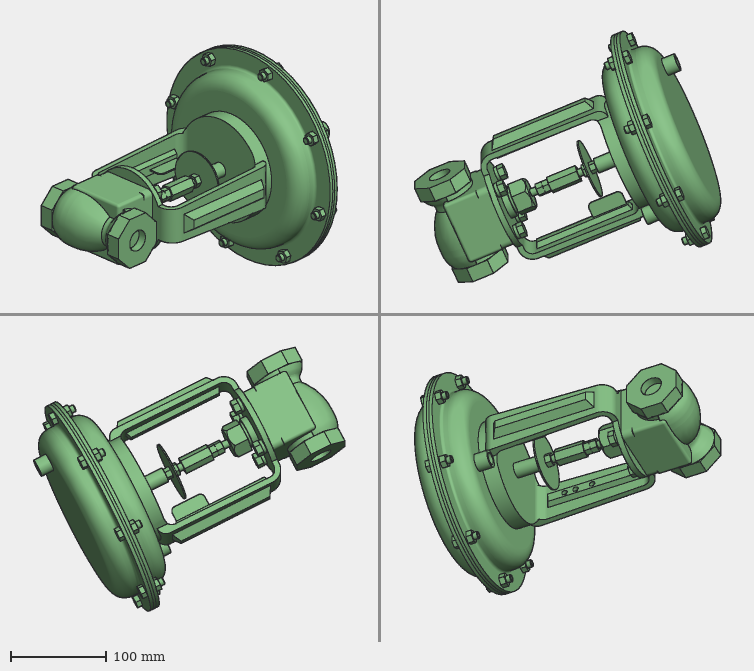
import cadquery as cq
import math


VALVE_BLOCK_BOTTOM = -6.0
VALVE_STEP_Y = 32.1
YOKE_FLANGE_BOTTOM = 44.75
STRAP_THICKNESS = 6.35
YOKE_FLANGE_TOP = YOKE_FLANGE_BOTTOM + STRAP_THICKNESS
PACKING_NUT_BOTTOM = 61.3
PACKING_NUT_TOP = 80.0
BOSS_BOTTOM = 181.7
LOWER_CASE_BOTTOM = 199.1
CASE_FLANGE_BOTTOM = 224.3
CASE_FLANGE_THICKNESS = 3.9
DIAPHRAGM_BOTTOM = CASE_FLANGE_BOTTOM + CASE_FLANGE_THICKNESS
DIAPHRAGM_THICKNESS = 2.9
DIAPHRAGM_TOP = DIAPHRAGM_BOTTOM + DIAPHRAGM_THICKNESS
CASE_FLANGE_TOP = DIAPHRAGM_TOP + CASE_FLANGE_THICKNESS
UPPER_CASE_TOP = 260.7

FLANGE_RADIUS = 241.3 / 2
CASE_RADIUS = 98.6
CASE_ROUND = 16.9
FLANGE_FILLET = 3.1
CASE_BOLTS = 8
CASE_BOLT_CIRCLE = 111.0
CASE_BOLT_START = 30.0
CASE_BOLT_ACROSS = 12.7 / math.cos(math.pi / 6)
CASE_BOLT_TURN = 15.0
CASE_HEAD_HEIGHT = 5.5
CASE_NUT_HEIGHT = 6.4
NUT_CHAMFER = 0.8
CASE_BOLT_RADIUS = 4.0
CASE_BOLT_TIP = 5.6
PORT_CIRCLE = 69.85
PORT_ANGLE = 30.0
PORT_RADIUS = 9.6
PORT_BORE_RADIUS = 6.6
LOWER_PORT_LENGTH = 15.0

GLOBE_RADIUS = 33.2
OVERALL_LENGTH = 307.95
UPPER_PORT_TOP = OVERALL_LENGTH - GLOBE_RADIUS
PIPE_END_X = 57.15
OCTAGON_FLATS = 57.15
OCTAGON_LENGTH = 16.2
OCTAGON_INNER_X = PIPE_END_X - OCTAGON_LENGTH
PIPE_BORE_RADIUS = 11.7
PIPE_BORE_DEPTH = 9.5
PASSAGE_RADIUS = 28.4
BULGE_START_X = -24.9
BULGE_END_X = -17.4
NECK_START_X = 22.0
NECK_END_X = 26.0
NECK_RADIUS = 18.6
BELL_START = (30.6, 20.6)
BELL_MIDDLE = (34.9, 25.0)
BLOCK_SIZE = 70.4
BLOCK_CORNER = 6.6
BLOCK_EDGE = 3.3
BONNET_RADIUS = 17.05
BONNET_TOP = 58.3
GLAND_RADIUS = 14.2
PACKING_NUT_ACROSS = 37.0
PACKING_NUT_CHAMFER = 3.0

ARM_OUTER_X = 63.5
ARM_INNER_X = ARM_OUTER_X - STRAP_THICKNESS
BEND_OUTER = 15.875
BEND_INNER = BEND_OUTER - STRAP_THICKNESS
PAD_ROUND = 10.4
PAD_TOP = BOSS_BOTTOM + PAD_ROUND
ARM_HALF_BOTTOM = 19.5
ARM_HALF_TOP = 25.2
YOKE_FLANGE_RADIUS = 47.6
BOSS_RADIUS = 59.0
BOSS_FILLET = BEND_INNER
OUTER_RAIL_Y = (63.0, 179.4)
OUTER_RAIL_HALF = 11.0
OUTER_RAIL_HEIGHT = 9.2
OUTER_RAIL_INSET = 5.7
INNER_RAIL_Y = (61.5, 171.5)
INNER_RAIL_HALF = 8.0
INNER_RAIL_HEIGHT = 6.0
INNER_RAIL_INSET = 2.6
RAIL_HOLE_RADIUS = 3.0
RAIL_HOLE_YS = (149.4, 136.7, 117.65)
PLATE_Y = (128.8, 167.5)
PLATE_WIDTH = 16.0
PLATE_CORNER = 5.5
PLATE_THICKNESS = 1.5
YOKE_BOLT_OFFSET = 25.4
YOKE_BOLT_ACROSS = 16.5
YOKE_BOLT_TURN = 21.0
YOKE_WASHER_RADIUS = 7.7
YOKE_WASHER_HEIGHT = 3.5

ROD_BOTTOM = 155.1
ROD_RADIUS = 8.2
DISC_TOP = 148.2
DISC_BOTTOM = 146.6
DISC_RADIUS = 31.75
DISC_NUT_BOTTOM = 140.0
SPINDLE_RADIUS = 4.2
COUPLING_TOP = 134.5
COUPLING_BOTTOM = 101.7
COUPLING_ACROSS = 18.4
COUPLING_TURN = 5.0
UPPER_NUT_ACROSS = 12.8
UPPER_NUT_TURN = 22.0
LOCK_NUT_ACROSS = 14.6
LOCK_NUT_MIDDLE = 94.8
LOCK_NUT_BOTTOM = 87.2


def plane_at(y, x=0.0, z=0.0):
    """Workplane facing +Y, so that extrusions run along the stem away from the valve."""
    return cq.Workplane(cq.Plane(origin=(x, y, z), xDir=(1, 0, 0), normal=(0, 1, 0)))


def cylinder(radius, bottom, top, x=0.0, z=0.0):
    return plane_at(bottom, x, z).circle(radius).extrude(top - bottom)


def hexagon(across, bottom, top, x=0.0, z=0.0, turn=0.0):
    """Hexagonal prism with one corner turned from +X towards +Z."""
    prism = plane_at(bottom).polygon(6, across).extrude(top - bottom)
    return prism.rotate((0, 0, 0), (0, 1, 0), -turn).translate((x, 0, z))


def corner_cone(across, chamfer, bottom, top):
    """Cylinder bevelled at its bottom rim, which trims the corners of a nut."""
    return cylinder(across / 2, bottom, top).faces("<Y").chamfer(chamfer / 2, chamfer)


def nut(across, bottom, top, turn=0.0):
    trimmed = hexagon(across, bottom, top, turn=turn)
    return trimmed.intersect(corner_cone(across, NUT_CHAMFER, bottom, top))


def on_circle(radius, degrees):
    return radius * math.cos(math.radians(degrees)), radius * math.sin(math.radians(degrees))


def case_bolt_angles():
    return [CASE_BOLT_START + 360.0 / CASE_BOLTS * i for i in range(CASE_BOLTS)]


def case_shell(end_y, face_y, joint_y):
    """Round pan from its flat end at end_y to its flange between face_y and joint_y."""
    away = math.copysign(1, end_y - face_y)
    corner = 1 - math.sqrt(0.5)
    fillet_middle = (CASE_RADIUS + FLANGE_FILLET * corner, face_y + away * FLANGE_FILLET * corner)
    round_middle = (CASE_RADIUS - CASE_ROUND * corner, end_y - away * CASE_ROUND * corner)
    return (
        cq.Workplane("XY")
        .moveTo(0, joint_y)
        .lineTo(FLANGE_RADIUS, joint_y)
        .lineTo(FLANGE_RADIUS, face_y)
        .lineTo(CASE_RADIUS + FLANGE_FILLET, face_y)
        .threePointArc(fillet_middle, (CASE_RADIUS, face_y + away * FLANGE_FILLET))
        .lineTo(CASE_RADIUS, end_y - away * CASE_ROUND)
        .threePointArc(round_middle, (CASE_RADIUS - CASE_ROUND, end_y))
        .lineTo(0, end_y)
        .close()
        .revolve(360, (0, 0, 0), (0, 1, 0))
    )


def port(bottom, top, degrees):
    x, z = on_circle(PORT_CIRCLE, degrees)
    return cylinder(PORT_RADIUS, bottom, top, x, z), cylinder(PORT_BORE_RADIUS, bottom, top, x, z)


def make_upper_case():
    tube, bore = port(UPPER_CASE_TOP, UPPER_PORT_TOP, PORT_ANGLE)
    body = case_shell(UPPER_CASE_TOP, CASE_FLANGE_TOP, DIAPHRAGM_TOP).union(tube).cut(bore)
    for angle in case_bolt_angles():
        x, z = on_circle(CASE_BOLT_CIRCLE, angle)
        head_top = CASE_FLANGE_TOP + CASE_HEAD_HEIGHT
        turn = angle + CASE_BOLT_TURN
        body = body.union(hexagon(CASE_BOLT_ACROSS, CASE_FLANGE_TOP, head_top, x, z, turn))
    return body


def make_lower_case():
    tube, bore = port(LOWER_CASE_BOTTOM - LOWER_PORT_LENGTH, LOWER_CASE_BOTTOM, PORT_ANGLE + 180)
    body = case_shell(LOWER_CASE_BOTTOM, CASE_FLANGE_BOTTOM, DIAPHRAGM_BOTTOM).union(tube).cut(bore)
    nut_bottom = CASE_FLANGE_BOTTOM - CASE_NUT_HEIGHT
    for angle in case_bolt_angles():
        x, z = on_circle(CASE_BOLT_CIRCLE, angle)
        case_nut = nut(CASE_BOLT_ACROSS, nut_bottom, CASE_FLANGE_BOTTOM, angle + CASE_BOLT_TURN)
        tip = cylinder(CASE_BOLT_RADIUS, nut_bottom - CASE_BOLT_TIP, nut_bottom)
        tip = tip.faces("<Y").chamfer(NUT_CHAMFER)
        body = body.union(case_nut.union(tip).translate((x, 0, z)))
    return body


def make_diaphragm():
    return cylinder(FLANGE_RADIUS, DIAPHRAGM_BOTTOM, DIAPHRAGM_TOP)


def strap_profile(side):
    """Cross-section of one arm from the flange centre up to the pad beside the boss."""
    bend_x = ARM_OUTER_X - BEND_OUTER
    bend_y = YOKE_FLANGE_BOTTOM + BEND_OUTER
    pad_x = ARM_OUTER_X - PAD_ROUND
    fillet_x = ARM_INNER_X - BOSS_FILLET
    fillet_y = BOSS_BOTTOM - BOSS_FILLET
    diagonal = math.sqrt(0.5)

    def at(x, y):
        return side * x, y

    return (
        cq.Workplane("XY")
        .moveTo(0, YOKE_FLANGE_BOTTOM)
        .lineTo(*at(bend_x, YOKE_FLANGE_BOTTOM))
        .threePointArc(
            at(bend_x + BEND_OUTER * diagonal, bend_y - BEND_OUTER * diagonal),
            at(ARM_OUTER_X, bend_y),
        )
        .lineTo(*at(ARM_OUTER_X, BOSS_BOTTOM))
        .threePointArc(
            at(pad_x + PAD_ROUND * diagonal, BOSS_BOTTOM + PAD_ROUND * diagonal),
            at(pad_x, PAD_TOP),
        )
        .lineTo(*at(fillet_x, PAD_TOP))
        .lineTo(*at(fillet_x, BOSS_BOTTOM))
        .threePointArc(
            at(fillet_x + BOSS_FILLET * diagonal, fillet_y + BOSS_FILLET * diagonal),
            at(ARM_INNER_X, fillet_y),
        )
        .lineTo(*at(ARM_INNER_X, bend_y))
        .threePointArc(
            at(bend_x + BEND_INNER * diagonal, bend_y - BEND_INNER * diagonal),
            at(bend_x, YOKE_FLANGE_TOP),
        )
        .lineTo(0, YOKE_FLANGE_TOP)
        .close()
    )


def arm_taper():
    """Tapered blank, extruded along X, that narrows the arms from the boss down to the flange."""
    return (
        cq.Workplane("YZ")
        .polyline(
            [
                (YOKE_FLANGE_BOTTOM, -ARM_HALF_BOTTOM),
                (PAD_TOP, -ARM_HALF_TOP),
                (PAD_TOP, ARM_HALF_TOP),
                (YOKE_FLANGE_BOTTOM, ARM_HALF_BOTTOM),
            ]
        )
        .close()
        .extrude(ARM_OUTER_X, both=True)
    )


def fillet_web(side):
    """Concave web that carries the arm's fillet out to the rim of the boss."""
    fillet_x = ARM_INNER_X - BOSS_FILLET
    fillet_y = BOSS_BOTTOM - BOSS_FILLET
    diagonal = BOSS_FILLET * math.sqrt(0.5)
    web = (
        cq.Workplane("XY")
        .moveTo(side * fillet_x, BOSS_BOTTOM)
        .threePointArc(
            (side * (fillet_x + diagonal), fillet_y + diagonal),
            (side * ARM_INNER_X, fillet_y),
        )
        .lineTo(side * BOSS_RADIUS, fillet_y)
        .lineTo(side * BOSS_RADIUS, BOSS_BOTTOM)
        .close()
        .extrude(BOSS_RADIUS, both=True)
    )
    return web.intersect(cylinder(BOSS_RADIUS, fillet_y, BOSS_BOTTOM))


def rail(side, base_x, y_range, half_width, height, inset, direction):
    """Raised rail with sloped flanks on an arm face; direction is +1 outward, -1 inward."""
    length = y_range[1] - y_range[0]
    middle = (y_range[0] + y_range[1]) / 2
    facing = side * direction
    base = cq.Plane(origin=(side * base_x, middle, 0), xDir=(0, 1, 0), normal=(facing, 0, 0))
    slope = math.degrees(math.atan2(inset, height))
    return cq.Workplane(base).rect(length, 2 * half_width).extrude(height, taper=slope)


def scale_plate():
    """Small plate that stands off the inner rail of the -X arm."""
    root_x = -(ARM_INNER_X - INNER_RAIL_HEIGHT)
    middle = (PLATE_Y[0] + PLATE_Y[1]) / 2
    return (
        cq.Workplane("XY", origin=(root_x + PLATE_WIDTH / 2, middle, -PLATE_THICKNESS / 2))
        .rect(PLATE_WIDTH, PLATE_Y[1] - PLATE_Y[0])
        .extrude(PLATE_THICKNESS)
        .edges("|Z and >X")
        .fillet(PLATE_CORNER)
    )


def yoke_bolt(x, z):
    head_bottom = YOKE_FLANGE_TOP + YOKE_WASHER_HEIGHT
    washer = cylinder(YOKE_WASHER_RADIUS, YOKE_FLANGE_TOP, head_bottom, x, z)
    head = hexagon(YOKE_BOLT_ACROSS, head_bottom, PACKING_NUT_BOTTOM, x, z, YOKE_BOLT_TURN)
    return washer.union(head)


def make_yoke():
    body = cylinder(BOSS_RADIUS, BOSS_BOTTOM, LOWER_CASE_BOTTOM)
    body = body.union(cylinder(YOKE_FLANGE_RADIUS, YOKE_FLANGE_BOTTOM, YOKE_FLANGE_TOP))
    for side in (-1, 1):
        arm = strap_profile(side).extrude(ARM_HALF_TOP, both=True).intersect(arm_taper())
        body = body.union(arm).union(fillet_web(side))
        body = body.union(
            rail(side, ARM_OUTER_X, OUTER_RAIL_Y, OUTER_RAIL_HALF, OUTER_RAIL_HEIGHT, OUTER_RAIL_INSET, 1)
        )
        body = body.union(
            rail(side, ARM_INNER_X, INNER_RAIL_Y, INNER_RAIL_HALF, INNER_RAIL_HEIGHT, INNER_RAIL_INSET, -1)
        )
    for y in RAIL_HOLE_YS:
        start = cq.Workplane("YZ", origin=(ARM_INNER_X - INNER_RAIL_HEIGHT, y, 0))
        body = body.cut(start.circle(RAIL_HOLE_RADIUS).extrude(INNER_RAIL_HEIGHT))
    body = body.union(scale_plate())
    for x in (-YOKE_BOLT_OFFSET, YOKE_BOLT_OFFSET):
        for z in (-YOKE_BOLT_OFFSET, YOKE_BOLT_OFFSET):
            body = body.union(yoke_bolt(x, z))
    return body.cut(cylinder(BONNET_RADIUS, YOKE_FLANGE_BOTTOM, YOKE_FLANGE_TOP))


def make_stem():
    body = cylinder(ROD_RADIUS, ROD_BOTTOM, BOSS_BOTTOM)
    body = body.union(hexagon(UPPER_NUT_ACROSS, DISC_TOP, ROD_BOTTOM, turn=UPPER_NUT_TURN))
    body = body.union(cylinder(DISC_RADIUS, DISC_BOTTOM, DISC_TOP))
    body = body.union(nut(LOCK_NUT_ACROSS, DISC_NUT_BOTTOM, DISC_BOTTOM))
    body = body.union(cylinder(SPINDLE_RADIUS, COUPLING_TOP, DISC_NUT_BOTTOM))
    body = body.union(hexagon(COUPLING_ACROSS, COUPLING_BOTTOM, COUPLING_TOP, turn=COUPLING_TURN))
    body = body.union(nut(LOCK_NUT_ACROSS, LOCK_NUT_MIDDLE, COUPLING_BOTTOM))
    body = body.union(nut(LOCK_NUT_ACROSS, LOCK_NUT_BOTTOM, LOCK_NUT_MIDDLE))
    return body.union(cylinder(SPINDLE_RADIUS, PACKING_NUT_TOP, LOCK_NUT_BOTTOM))


def globe():
    """Lower half of the bulged passage, turned about the pipe axis."""
    inlet_run = BULGE_START_X + OCTAGON_INNER_X
    inlet_rise = GLOBE_RADIUS - PASSAGE_RADIUS
    inlet_radius = (inlet_run**2 + inlet_rise**2) / (2 * inlet_rise)
    inlet_x = BULGE_START_X - inlet_run / 2
    inlet_r = GLOBE_RADIUS - inlet_radius + math.sqrt(inlet_radius**2 - (inlet_run / 2) ** 2)
    return (
        cq.Workplane("XY")
        .moveTo(-OCTAGON_INNER_X, 0)
        .lineTo(-OCTAGON_INNER_X, -PASSAGE_RADIUS)
        .threePointArc((inlet_x, -inlet_r), (BULGE_START_X, -GLOBE_RADIUS))
        .lineTo(BULGE_END_X, -GLOBE_RADIUS)
        .tangentArcPoint((NECK_START_X, -NECK_RADIUS), relative=False)
        .lineTo(NECK_END_X, -NECK_RADIUS)
        .tangentArcPoint((BELL_START[0], -BELL_START[1]), relative=False)
        .threePointArc((BELL_MIDDLE[0], -BELL_MIDDLE[1]), (OCTAGON_INNER_X, -PASSAGE_RADIUS))
        .lineTo(OCTAGON_INNER_X, 0)
        .close()
        .revolve(360, (0, 0, 0), (1, 0, 0))
        .intersect(below_pipe_axis())
    )


def below_pipe_axis():
    """Box that covers everything in the passage at negative Y."""
    box = cq.Workplane("XY").box(2 * PIPE_END_X, 2 * GLOBE_RADIUS, 3 * GLOBE_RADIUS)
    return box.translate((0, -GLOBE_RADIUS, 0))


def passage():
    """Upper half of the passage: a plain half cylinder between the pipe ends."""
    tube = cq.Workplane("YZ").circle(PASSAGE_RADIUS).extrude(OCTAGON_INNER_X, both=True)
    return tube.cut(below_pipe_axis())


def pipe_end(side):
    """Octagonal pipe end with a blind bore."""
    mouth = cq.Plane(origin=(side * PIPE_END_X, 0, 0), xDir=(0, 1, 0), normal=(-side, 0, 0))
    octagon_across = OCTAGON_FLATS / math.cos(math.pi / 8)
    octagon = cq.Workplane(mouth).polygon(8, octagon_across).extrude(OCTAGON_LENGTH)
    octagon = octagon.rotate((0, 0, 0), (1, 0, 0), 360 / 16)
    return octagon.cut(cq.Workplane(mouth).circle(PIPE_BORE_RADIUS).extrude(PIPE_BORE_DEPTH))


def valve_block():
    """Square block: wide vertical rounds above the step, smaller rounds below it."""
    upper = (
        plane_at(VALVE_STEP_Y)
        .rect(BLOCK_SIZE, BLOCK_SIZE)
        .extrude(YOKE_FLANGE_BOTTOM - VALVE_STEP_Y)
        .edges("|Y")
        .fillet(BLOCK_CORNER)
    )
    lower = (
        plane_at(VALVE_BLOCK_BOTTOM)
        .rect(BLOCK_SIZE, BLOCK_SIZE)
        .extrude(VALVE_STEP_Y - VALVE_BLOCK_BOTTOM)
        .edges("|Y or <Y")
        .fillet(BLOCK_EDGE)
    )
    return upper.union(lower)


def make_valve():
    packing_nut = hexagon(PACKING_NUT_ACROSS, PACKING_NUT_BOTTOM, PACKING_NUT_TOP)
    nut_blank = cylinder(PACKING_NUT_ACROSS / 2, PACKING_NUT_BOTTOM, PACKING_NUT_TOP)
    packing_nut = packing_nut.intersect(nut_blank.faces(">Y").chamfer(PACKING_NUT_CHAMFER))
    body = valve_block().union(globe()).union(passage())
    body = body.union(cylinder(BONNET_RADIUS, YOKE_FLANGE_BOTTOM, BONNET_TOP))
    body = body.union(cylinder(GLAND_RADIUS, BONNET_TOP, PACKING_NUT_BOTTOM))
    body = body.union(packing_nut)
    for side in (-1, 1):
        body = body.union(pipe_end(side))
    return body


upper_case = make_upper_case()
diaphragm = make_diaphragm()
lower_case = make_lower_case()
yoke = make_yoke()
stem = make_stem()
valve = make_valve()

result = cq.Compound.makeCompound(
    [upper_case.val(), diaphragm.val(), lower_case.val(), yoke.val(), stem.val(), valve.val()]
)